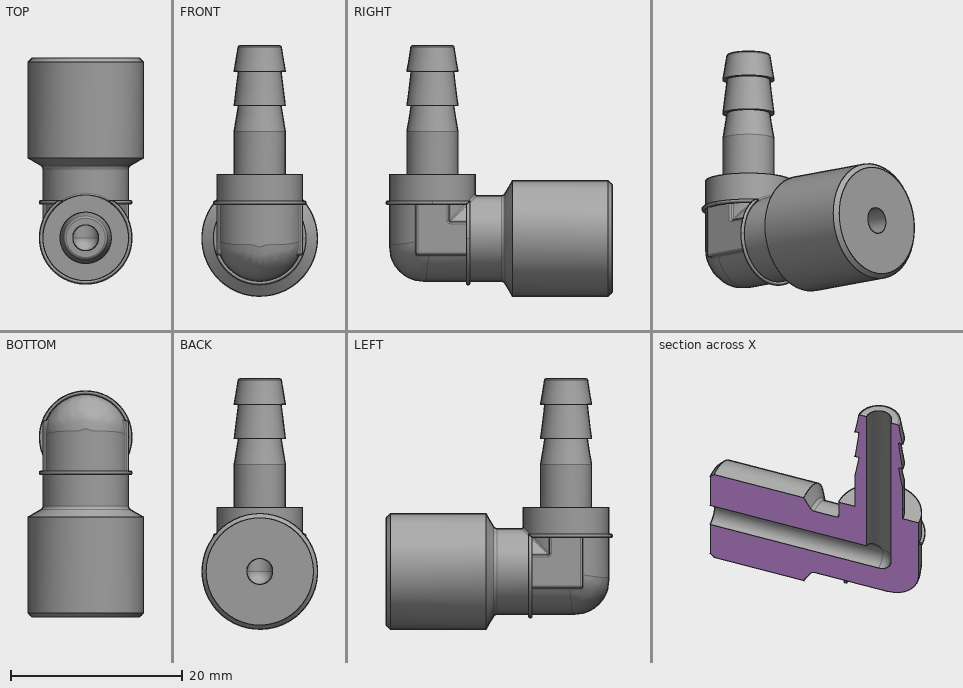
import cadquery as cq
import math


leg_radius = 5.0
collar_top = 7.5
bore_radius = 3.0 / 2
outer_bend_radius = 4.0
inner_bend_radius = 0.2

stem_radius = 6.0 / 2
barb_tip_radius = 2.5
barb_levels = [12.5, 15.5, 19.5, 22.5]
tip_rounding = 0.25

socket_radius = 13.5 / 2
socket_start = 9.33
socket_end = 21.0
socket_chamfer = 0.5
shoulder_angle = 30
shoulder_fillet = 0.5

pad_half_width = 1.93
pad_corner_radius = 0.23
pad_rounding = 0.22
pad_foot_fillet = 0.2

wire_radius = 0.2
ring_offset = 4.15

ring_radius = leg_radius + wire_radius
pad_end = ring_offset - wire_radius
shoulder_length = (socket_radius - leg_radius) * math.tan(math.radians(shoulder_angle))
neck_start = socket_start - shoulder_length
mitre_normal = cq.Vector(0, 1, -1)
reach = 2 * socket_end


def collar_side():
    """Every point on the stem side of the mitre plane."""
    return (
        cq.Workplane("YZ")
        .polyline([(-reach, -reach), (reach, reach), (-reach, reach)])
        .close()
        .extrude(reach, both=True)
    )


def mirror_to_socket_side(leg):
    """Mirror a Workplane across the mitre plane."""
    return leg.mirror(mitre_normal)


def make_leg(length):
    """Cylinder on the Z axis, cut off at an angle by the mitre plane."""
    overrun = 2 * leg_radius
    leg = cq.Workplane("XY").workplane(offset=-overrun).circle(leg_radius)
    return leg.extrude(overrun + length).intersect(collar_side())


def make_pads():
    """L-shaped plate with faces tangent to the legs, rounded except at the arm ends."""
    w = pad_half_width
    outline = [(-w, -w), (pad_end, -w), (pad_end, w), (w, w), (w, pad_end), (-w, pad_end)]
    plate = cq.Workplane("YZ").polyline(outline).close().extrude(leg_radius, both=True)
    limit = pad_end - pad_rounding
    away_from_ends = cq.selectors.BoxSelector((-reach, -reach, -reach), (reach, limit, limit))
    plate = plate.edges("|X").edges(away_from_ends).fillet(pad_corner_radius)
    return plate.faces("<X or >X").edges(away_from_ends).fillet(pad_rounding)


def mitre_edges(shape, side):
    """Mitre edge of the outer corner (side = -1) or the inner corner (side = 1)."""
    return [
        edge for edge in shape.Edges()
        if edge.geomType() == "ELLIPSE"
        and side * edge.Center().y > pad_half_width
        and abs(edge.Center().x) < bore_radius
    ]


def pad_foot_edges(shape):
    """Edges where the side walls of the pads run into the legs."""
    wall_tolerance = pad_rounding / 2
    deepest_foot = leg_radius - 0.88
    highest_foot = leg_radius - pad_rounding
    edges = []
    for edge in shape.Edges():
        center = edge.Center()
        wall_offsets = [abs(abs(side) - pad_half_width) for side in (center.y, center.z)]
        on_wall = min(wall_offsets) < wall_tolerance
        at_foot = deepest_foot < abs(center.x) < highest_foot
        before_end = max(center.y, center.z) < pad_end - wall_tolerance
        if on_wall and at_foot and before_end:
            edges.append(edge)
    return edges


def make_corner():
    """Both mitred legs with the pads and the roundings between them."""
    corner = make_leg(collar_top).union(mirror_to_socket_side(make_leg(neck_start)))
    shape = corner.union(make_pads()).val()
    shape = shape.fillet(outer_bend_radius, mitre_edges(shape, -1))
    shape = shape.fillet(inner_bend_radius, mitre_edges(shape, 1))
    shape = shape.fillet(pad_foot_fillet, pad_foot_edges(shape))
    return cq.Workplane(shape)


def make_stem():
    """Plain stem with three barbs that narrow towards the tip."""
    foot, low, high, tip = barb_levels
    outline = [
        (0, collar_top), (stem_radius, collar_top), (stem_radius, foot),
        (barb_tip_radius, low), (stem_radius, low),
        (barb_tip_radius, high), (stem_radius, high),
        (barb_tip_radius, tip), (0, tip),
    ]
    stem = cq.Workplane("XZ").polyline(outline).close().revolve(360, (0, 0), (0, 1))
    return stem.faces(">Z").edges().fillet(tip_rounding)


def make_socket():
    """Wide cylinder on the Y axis with a conical shoulder blended into the neck."""
    turn = math.radians(90 - shoulder_angle)
    blend_length = shoulder_fillet * math.tan(turn / 2)
    blend_start = neck_start - blend_length
    blend_middle = (
        leg_radius + shoulder_fillet * (1 - math.cos(turn / 2)),
        blend_start + shoulder_fillet * math.sin(turn / 2),
    )
    blend_end = (
        leg_radius + blend_length * math.sin(turn),
        neck_start + blend_length * math.cos(turn),
    )
    socket = (
        cq.Workplane("XY")
        .moveTo(0, blend_start)
        .lineTo(leg_radius, blend_start)
        .threePointArc(blend_middle, blend_end)
        .lineTo(socket_radius, socket_start)
        .lineTo(socket_radius, socket_end)
        .lineTo(0, socket_end)
        .close()
        .revolve(360, (0, 0), (0, 1))
    )
    return socket.faces(">Y").edges().chamfer(socket_chamfer)


def make_bore():
    """Bores of both legs, joined by a ball at the origin."""
    stem_bore = cq.Workplane("XY").circle(bore_radius).extrude(barb_levels[-1])
    socket_bore = cq.Workplane("XZ").circle(bore_radius).extrude(-socket_end)
    return stem_bore.union(socket_bore).union(cq.Workplane("XY").sphere(bore_radius))


def make_collar_ring():
    """Wire ring around the collar, open where it meets the ring around the neck."""
    ring = (
        cq.Workplane("XZ")
        .center(ring_radius, ring_offset)
        .circle(wire_radius)
        .revolve(360, (-ring_radius, 0), (-ring_radius, 1))
    )
    return ring.intersect(collar_side())


corner = make_corner()
elbow = corner.union(make_stem()).union(make_socket()).cut(make_bore())

collar_ring = make_collar_ring().cut(corner)
neck_ring = mirror_to_socket_side(collar_ring)

result = cq.Compound.makeCompound([elbow.val(), collar_ring.val(), neck_ring.val()])